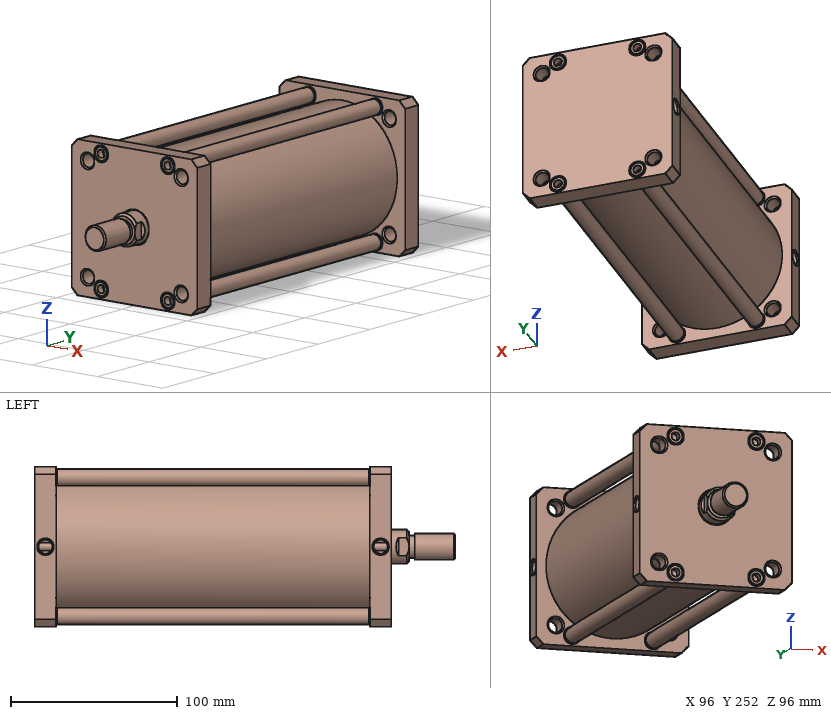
import cadquery as cq
import math


plate_size = 96.0
plate_thickness = 12.9
corner_chamfer = 4.5
front_plate_y = 0
mouth_diameter = 10.5

rod_diameter = 20.7
rod_collar_length = 10.5
rod_collar_chamfer = 1.5
rod_neck_diameter = 13.5
rod_neck_length = 3.3
rod_stud_diameter = 16.0
rod_stud_length = 24.5
rod_stud_chamfer = 1.0
rod_length = rod_collar_length + rod_neck_length + rod_stud_length

flats_width = 17.6
flats_length = 6.3

rod_recess_diameter = 22.0
rod_recess_depth = 1.3

overall_length = 252
barrel_diameter = 84.0
barrel_length = overall_length - rod_length - 2 * plate_thickness
rear_plate_y = plate_thickness + barrel_length

mount_hole_diameter = 8.5
mount_hole_offset = 35.8

tie_rod_offset_x = 25.5
tie_rod_offset_z = 41.5
tie_rod_diameter = 10.0
tie_rod_groove_width = 0.8
tie_rod_groove_depth = 0.5
tie_rod_end_chamfer = 0.8
tie_rod_bore_diameter = 5.0
tie_rod_bore_depth = 5.0
drill_tip_angle = 118

port_diameter = 8.3
port_mouth_diameter = 10.0
port_depth = 15.0
port_bar_diameter = 5.0
port_bar_depth = 12.5

mount_points = [(sx * mount_hole_offset, sz * mount_hole_offset) for sx in (-1, 1) for sz in (-1, 1)]
tie_rod_points = [(sx * tie_rod_offset_x, sz * tie_rod_offset_z) for sx in (-1, 1) for sz in (-1, 1)]


def revolve_about_y(profile):
    """Turn a closed (radius, y) outline about the Y axis."""
    return cq.Workplane("XY").polyline(profile).close().revolve(360, (0, 0, 0), (0, 1, 0))


def cylinder_y(diameter, start_y, length):
    """A cylinder on the Y axis, from start_y towards +Y."""
    return cq.Workplane("XZ", origin=(0, start_y, 0)).circle(diameter / 2).extrude(-length)


def tip_depth(diameter):
    """Depth of the conical tip that a drill leaves."""
    return diameter / 2 / math.tan(math.radians(drill_tip_angle / 2))


def countersunk_hole(diameter):
    """Cutter for a through hole with a 45 degree countersink at both plate faces."""
    hole_radius = diameter / 2
    mouth_radius = mouth_diameter / 2
    sink = mouth_radius - hole_radius
    return revolve_about_y([
        (0, 0),
        (mouth_radius, 0),
        (hole_radius, sink),
        (hole_radius, plate_thickness - sink),
        (mouth_radius, plate_thickness),
        (0, plate_thickness),
    ])


def air_port():
    """Cutter for the air port, with its mouth at x = 0 and drilled towards +X."""
    port_radius = port_diameter / 2
    mouth_radius = port_mouth_diameter / 2
    drilling = revolve_about_y([
        (0, 0),
        (mouth_radius, 0),
        (port_radius, mouth_radius - port_radius),
        (port_radius, port_depth),
        (0, port_depth + tip_depth(port_diameter)),
    ])
    drilling = drilling.rotate((0, 0, 0), (0, 0, 1), -90)
    bar = cylinder_y(port_bar_diameter, -port_mouth_diameter, 2 * port_mouth_diameter)
    return drilling.cut(bar.translate((port_bar_depth, 0, 0)))


def end_plate(start_y):
    plate = (
        cq.Workplane("XZ", origin=(0, start_y, 0))
        .rect(plate_size, plate_size)
        .extrude(-plate_thickness)
        .edges("|Y")
        .chamfer(corner_chamfer)
    )
    for x, z in mount_points:
        plate = plate.cut(countersunk_hole(mount_hole_diameter).translate((x, start_y, z)))
    for x, z in tie_rod_points:
        plate = plate.cut(countersunk_hole(tie_rod_diameter).translate((x, start_y, z)))
    return plate.cut(air_port().translate((-plate_size / 2, start_y + plate_thickness / 2, 0)))


def front_end_plate():
    """End plate with a bore for the piston rod and a shallow recess around it."""
    plate = end_plate(front_plate_y)
    plate = plate.cut(cylinder_y(rod_diameter, front_plate_y, plate_thickness))
    return plate.cut(cylinder_y(rod_recess_diameter, front_plate_y, rod_recess_depth))


def piston_rod():
    collar_end_y = -rod_collar_length
    stud_start_y = collar_end_y - rod_neck_length
    collar_radius = rod_diameter / 2
    neck_radius = rod_neck_diameter / 2
    stud_radius = rod_stud_diameter / 2
    rod = revolve_about_y([
        (0, plate_thickness),
        (collar_radius, plate_thickness),
        (collar_radius, collar_end_y + rod_collar_chamfer),
        (collar_radius - rod_collar_chamfer, collar_end_y),
        (neck_radius, collar_end_y),
        (neck_radius, stud_start_y),
        (stud_radius, stud_start_y),
        (stud_radius, -rod_length + rod_stud_chamfer),
        (stud_radius - rod_stud_chamfer, -rod_length),
        (0, -rod_length),
    ])
    flat_x = flats_width / 2
    flat_end_y = collar_end_y + flats_length
    runout = collar_radius - flat_x
    for side in (-1, 1):
        flat = (
            cq.Workplane("XY")
            .polyline([
                (side * flat_x, collar_end_y),
                (side * flat_x, flat_end_y),
                (side * collar_radius, flat_end_y + runout),
                (side * collar_radius, collar_end_y),
            ])
            .close()
            .extrude(collar_radius, both=True)
        )
        rod = rod.cut(flat)
    return rod


def tie_rod():
    """Tie rod on the Y axis, running through both plates, with a drilled centre in each end."""
    rear_y = overall_length - rod_length
    radius = tie_rod_diameter / 2
    face_radius = radius - tie_rod_end_chamfer
    groove_radius = radius - tie_rod_groove_depth
    groove_front_y = plate_thickness + tie_rod_groove_width
    groove_rear_y = rear_plate_y - tie_rod_groove_width
    bore_radius = tie_rod_bore_diameter / 2
    bore_tip = tie_rod_bore_depth + tip_depth(tie_rod_bore_diameter)
    return revolve_about_y([
        (0, bore_tip),
        (bore_radius, tie_rod_bore_depth),
        (bore_radius, 0),
        (face_radius, 0),
        (radius, tie_rod_end_chamfer),
        (radius, plate_thickness),
        (groove_radius, plate_thickness),
        (groove_radius, groove_front_y),
        (radius, groove_front_y),
        (radius, groove_rear_y),
        (groove_radius, groove_rear_y),
        (groove_radius, rear_plate_y),
        (radius, rear_plate_y),
        (radius, rear_y - tie_rod_end_chamfer),
        (face_radius, rear_y),
        (bore_radius, rear_y),
        (bore_radius, rear_y - tie_rod_bore_depth),
        (0, rear_y - bore_tip),
    ])


front_plate = front_end_plate()
rear_plate = end_plate(rear_plate_y)
barrel = cylinder_y(barrel_diameter, plate_thickness, barrel_length)
rod = piston_rod()
tie_rods = [tie_rod().translate((x, 0, z)) for x, z in tie_rod_points]
result = cq.Compound.makeCompound([
    front_plate.val(),
    rear_plate.val(),
    barrel.val(),
    rod.val(),
    *[body.val() for body in tie_rods],
])